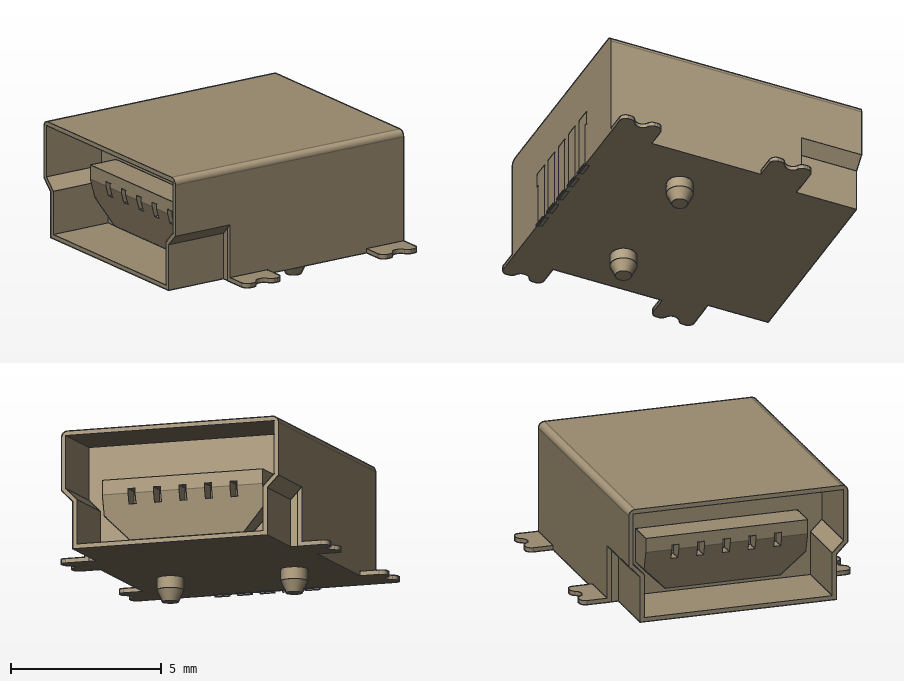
import cadquery as cq
import math


SHEET = 0.15
SHELL_WIDTH = 7.695
SHELL_HEIGHT = 4.0
SHELL_LENGTH = 9.21
TOP_RADIUS = 0.22
STEP_INSET = 0.4
STEP_Z = 1.995
STEP_ANGLE = 45.0
STEP_LENGTH = 2.2
FRONT_Y = 0.0
BACK_Y = FRONT_Y + SHELL_LENGTH
STEP_BACK_Y = FRONT_Y + STEP_LENGTH

TAB_SPAN = 9.5
TAB_LENGTH = 1.5
TAB_CORNER_RADIUS = 0.22
TAB_NOTCH_RADIUS = 0.28
TAB_NOTCH_DEPTH = 0.27
TAB_TIP_RADIUS = 0.22
TAB_CENTERS_Y = (BACK_Y - TAB_LENGTH / 2, STEP_BACK_Y + TAB_LENGTH / 2)

WALL_SETBACK = 0.01
CAVITY_BACK_Y = STEP_BACK_Y + WALL_SETBACK

TONGUE_FRONT_Y = FRONT_Y + 1.18
TONGUE_WIDTH = 5.68
TONGUE_TOP_Z = 2.49
TONGUE_BOTTOM_Z = 0.49
TONGUE_BREAK_Z = 1.995
TONGUE_SLOPE_RUN = 0.42
TONGUE_CHAMFER = 0.82

PEG_DIAMETER = 0.9
PEG_TIP_DIAMETER = 0.53
PEG_LENGTH = 0.8
PEG_STRAIGHT = 0.4
PEG_SPACING = 4.39
PEG_Y = BACK_Y - 3.31

CONTACT_COUNT = 5
BLADE_PITCH = 0.9
BLADE_WIDTH = 0.25
BLADE_HEIGHT = 0.5
BLADE_BOTTOM_Z = 1.64
SLOT_DEPTH = 0.57
BLADE_FRONT_Y = TONGUE_FRONT_Y + SLOT_DEPTH
LEG_THICKNESS = SHEET
FOOT_PITCH = 0.8
FOOT_WIDTH = 0.5
FOOT_DROP = 0.05
FOOT_REACH = 0.06
FOOT_OVERLAP = 0.01


def box(x_min, x_max, y_min, y_max, z_min, z_max):
    size = (x_max - x_min, y_max - y_min, z_max - z_min)
    return cq.Workplane("XY").box(*size, centered=False).translate((x_min, y_min, z_min))


def extrude_along_y(outline, y_min, y_max):
    return outline.extrude(y_min - y_max).translate((0, y_min, 0))


def stepped_outline(offset):
    """Section of the mouth, moved inward from the outer surface by offset."""
    upper_x = SHELL_WIDTH / 2 - offset
    lower_x = upper_x - STEP_INSET
    upper_z = STEP_Z + offset * math.tan(math.radians(STEP_ANGLE / 2))
    lower_z = upper_z - STEP_INSET * math.tan(math.radians(STEP_ANGLE))
    right_side = [
        (lower_x, offset),
        (lower_x, lower_z),
        (upper_x, upper_z),
        (upper_x, SHELL_HEIGHT - offset),
    ]
    left_side = [(-x, z) for x, z in reversed(right_side)]
    return cq.Workplane("XZ").polyline(right_side + left_side).close()


def round_top_edges(solid):
    return solid.edges("|Y and >Z").fillet(TOP_RADIUS)


def make_mouth():
    outer = round_top_edges(extrude_along_y(stepped_outline(0), FRONT_Y, CAVITY_BACK_Y))
    return outer.cut(extrude_along_y(stepped_outline(SHEET), FRONT_Y, CAVITY_BACK_Y))


def make_rear_block():
    """Shell walls ending at the step, with the insulator set back between them."""
    half = SHELL_WIDTH / 2
    block = round_top_edges(box(-half, half, STEP_BACK_Y, BACK_Y, 0, SHELL_HEIGHT))
    inner = half - SHEET
    recess = box(-inner, inner, STEP_BACK_Y, CAVITY_BACK_Y, 0, SHELL_HEIGHT - SHEET)
    return block.cut(recess)


def make_tab(center_y, side):
    """Flat tab with rounded corners and a rounded notch in its tip."""
    root_x = SHELL_WIDTH / 2 - SHEET
    tip_x = TAB_SPAN / 2
    tab = box(root_x, tip_x, -TAB_LENGTH / 2, TAB_LENGTH / 2, 0, SHEET)
    tab = tab.edges("|Z and >X").fillet(TAB_CORNER_RADIUS)
    notch_x = tip_x - TAB_NOTCH_DEPTH + TAB_NOTCH_RADIUS
    notch = cq.Workplane("XY").center(notch_x, 0).circle(TAB_NOTCH_RADIUS).extrude(SHEET)
    tab = tab.cut(notch)
    mouth_low = (tip_x - TAB_NOTCH_DEPTH / 2, -TAB_NOTCH_RADIUS, 0)
    mouth_high = (tip_x + TAB_NOTCH_DEPTH / 2, TAB_NOTCH_RADIUS, SHEET)
    mouth_corners = cq.selectors.BoxSelector(mouth_low, mouth_high)
    tab = tab.edges("|Z").edges(mouth_corners).fillet(TAB_TIP_RADIUS)
    if side < 0:
        tab = tab.mirror("YZ")
    return tab.translate((0, center_y, 0))


def make_tongue():
    half = TONGUE_WIDTH / 2
    profile = (
        cq.Workplane("XZ")
        .moveTo(-half, TONGUE_TOP_Z)
        .lineTo(half, TONGUE_TOP_Z)
        .lineTo(half, TONGUE_BOTTOM_Z + TONGUE_CHAMFER)
        .lineTo(half - TONGUE_CHAMFER, TONGUE_BOTTOM_Z)
        .lineTo(-half + TONGUE_CHAMFER, TONGUE_BOTTOM_Z)
        .lineTo(-half, TONGUE_BOTTOM_Z + TONGUE_CHAMFER)
        .close()
    )
    tongue = extrude_along_y(profile, TONGUE_FRONT_Y, CAVITY_BACK_Y)
    slope = (
        cq.Workplane("YZ")
        .moveTo(TONGUE_FRONT_Y, TONGUE_BREAK_Z)
        .lineTo(TONGUE_FRONT_Y, TONGUE_BOTTOM_Z)
        .lineTo(TONGUE_FRONT_Y + TONGUE_SLOPE_RUN, TONGUE_BOTTOM_Z)
        .close()
        .extrude(half, both=True)
    )
    return tongue.cut(slope)


def make_peg(side):
    half_profile = [
        (0, 0),
        (PEG_DIAMETER / 2, 0),
        (PEG_DIAMETER / 2, -PEG_STRAIGHT),
        (PEG_TIP_DIAMETER / 2, -PEG_LENGTH),
        (0, -PEG_LENGTH),
    ]
    peg = cq.Workplane("XZ").polyline(half_profile).close().revolve(360, (0, 0), (0, 1))
    return peg.translate((side * PEG_SPACING / 2, PEG_Y, 0))


def make_slot(blade_x):
    """Opening in the tongue in front of a contact blade."""
    half = BLADE_WIDTH / 2
    top_z = BLADE_BOTTOM_Z + BLADE_HEIGHT
    return box(blade_x - half, blade_x + half, TONGUE_FRONT_Y, BLADE_FRONT_Y, BLADE_BOTTOM_Z, top_z)


def make_contact(blade_x, foot_x):
    """Blade behind its slot, a leg down the back, and a foot at the lower rear edge."""
    top_z = BLADE_BOTTOM_Z + BLADE_HEIGHT
    blade_left = blade_x - BLADE_WIDTH / 2
    blade = box(blade_left, blade_left + BLADE_WIDTH, BLADE_FRONT_Y, BACK_Y, BLADE_BOTTOM_Z, top_z)
    foot_left = foot_x - FOOT_WIDTH / 2
    foot_right = foot_x + FOOT_WIDTH / 2
    leg = box(foot_left, foot_right, BACK_Y - LEG_THICKNESS, BACK_Y, 0, top_z)
    foot_y = BACK_Y - FOOT_OVERLAP
    foot = box(foot_left, foot_right, foot_y, BACK_Y + FOOT_REACH, -FOOT_DROP, FOOT_OVERLAP)
    return blade.union(leg).union(foot)


contact_indices = [i - (CONTACT_COUNT - 1) / 2 for i in range(CONTACT_COUNT)]
contacts = [make_contact(i * BLADE_PITCH, i * FOOT_PITCH) for i in contact_indices]

connector = make_mouth().union(make_rear_block()).union(make_tongue())
for side in (-1, 1):
    connector = connector.union(make_peg(side))
    for tab_y in TAB_CENTERS_Y:
        connector = connector.union(make_tab(tab_y, side))
for i in contact_indices:
    connector = connector.cut(make_slot(i * BLADE_PITCH))
for contact in contacts:
    connector = connector.cut(contact)

result = cq.Compound.makeCompound([connector.val(), *[contact.val() for contact in contacts]])